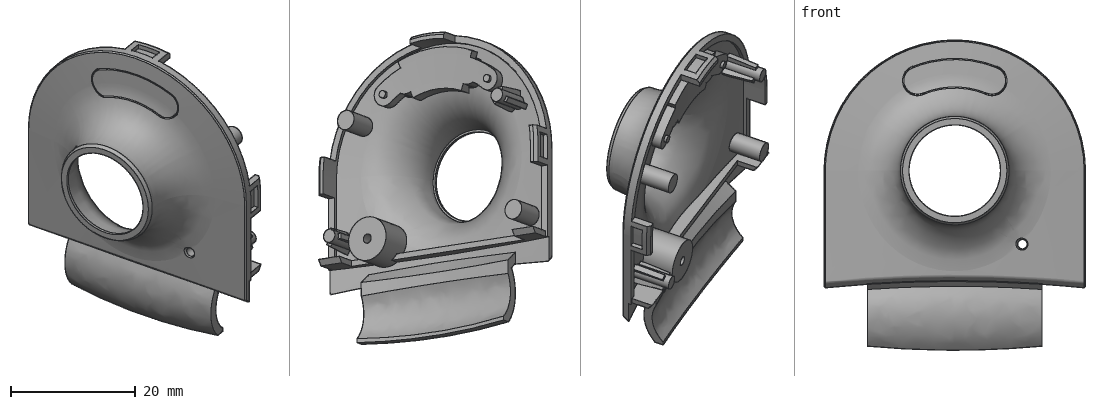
import cadquery as cq
import math


overall_height = 49.65
outline_radius = 20.9
side_edge_front = -1.5
crown_front = -2.85
bottom_wall_top = -13.8
bottom_wall_base = -14.75
edge_chamfer = 0.2
rim_wall = 1.15
shell_wall = 1.05

slope_start_z = -16.95
slope_end_y = -0.4
slope_end_z = -18.82
slope_edge_fillet = 0.5

neck_radius = 8.7
neck_front = -10.8
neck_chamfer_radial = 0.35
neck_chamfer_axial = 0.6
flare_radius = 7.45
bore_radius = 7.3
bore_lip_depth = 0.45

form_reach = 29.8
form_back = 9.95
margin = 0.5
edge_margin = 0.05

top_clip_half_width = 3.25
side_clip_half_width = 3.05
clip_back = 3.35
clip_chamfer = 0.5
clip_window_half_width = 2.05
clip_window_back = 2.05
clip_window_depth = 0.75

post_inner_x = 14.75
post_outer_x = 17.25
post_upper_z = 8.25
post_lower_z = -10.75
post_shoulder_back = 4.4
socket_radius = 1.6
pin_radius = 1.1
pin_back = 5.45
fin_thickness = 0.9
fin_tip_reach = 1.55
fin_base_reach = 1.9
fin_count = 3
upper_pin_fin_angle = 90.0
lower_pin_fin_angle = 60.0

indicator_x = 10.85
indicator_z = -11.75
indicator_boss_radius = 3.6
indicator_boss_back = 4.1
indicator_hole_radius = 0.75
indicator_chamfer = 0.2

tab_outer_x = 20.45
tab_width = 3.95
tab_back = 3.65
tab_chamfer = 0.7

tongue_half_width = 14.0
tongue_center_y = 6.3
tongue_end_radius = 7.5
tongue_thickness = 1.5
tongue_bulge = 0.95
tongue_top_angle = 148.0
tongue_bottom_angle = 223.0
tongue_inner_top_angle = 152.0
tongue_inner_bottom_angle = 228.0
tongue_neck_z = -17.95
tongue_root_y = -2.0
tongue_root_top_z = -15.6
tongue_root_bottom_z = -17.4

window_mid_radius = 15.6
window_half_width = 2.4
window_half_angle = 22.5
window_gap = 0.2
flange_inner_radius = 12.25
flange_outer_radius = 18.9
flange_half_angle = 22.0
flange_depth = 2.65
ear_radius = 1.8
ear_mid_radius = 16.0
ear_half_angle = 38.4
peg_radius = 0.6
peg_back = 1.1

tongue_tip_rise = (tongue_end_radius + tongue_bulge) * math.sin(math.radians(tongue_bottom_angle))
tongue_center_z = outline_radius - overall_height - tongue_tip_rise
crown_height = side_edge_front - crown_front
crown_radius = (outline_radius**2 + crown_height**2) / (2 * crown_height)


def rear_plane(y):
    """Plane at the given Y whose positive extrusions run toward the front (-Y)."""
    return cq.Workplane("XZ", origin=(0, y, 0))


def cylinder(x, z, radius, back, front):
    """Cylinder parallel to Y between two Y positions."""
    return rear_plane(back).center(x, z).circle(radius).extrude(back - front)


def box(x_range, y_range, z_range):
    """Axis-aligned box between the given limits."""
    sizes = [high - low for low, high in (x_range, y_range, z_range)]
    corner = (x_range[0], y_range[0], z_range[0])
    return cq.Workplane("XY").box(*sizes, centered=False).translate(corner)


def edges_within(x_range, y_range, z_range):
    """Selector of the edges that lie wholly inside a box."""
    low, high = zip(x_range, y_range, z_range)
    return cq.selectors.BoxSelector(low, high, boundingbox=True)


def polar(radius, angle):
    """Point at an angle in degrees, measured counter-clockwise from the first axis."""
    turn = math.radians(angle)
    return radius * math.cos(turn), radius * math.sin(turn)


def crown_y(offset, distance):
    """Y of the crown face moved backward by offset, at a distance from the axis."""
    radius = crown_radius - offset
    return crown_front + crown_radius - math.sqrt(radius**2 - distance**2)


def domed_nose(offset):
    """Nose swept round the bore axis, moved inward by offset."""
    neck = neck_radius - offset
    flare = flare_radius + offset
    crown = crown_radius - offset
    crown_center = crown_front + crown_radius
    flare_center_x = neck + flare
    flare_center_y = crown_center - math.sqrt((crown + flare) ** 2 - flare_center_x**2)
    crown_angle = math.degrees(math.atan2(crown_center - flare_center_y, -flare_center_x))
    start_x, start_y = polar(flare, crown_angle)
    middle_x, middle_y = polar(flare, (crown_angle + 180) / 2)
    return (
        cq.Workplane("XY")
        .moveTo(0, neck_front)
        .lineTo(neck, neck_front)
        .lineTo(neck, flare_center_y)
        .threePointArc(
            (flare_center_x + middle_x, flare_center_y + middle_y),
            (flare_center_x + start_x, flare_center_y + start_y),
        )
        .threePointArc(
            (outline_radius, crown_y(offset, outline_radius)),
            (form_reach, crown_y(offset, form_reach)),
        )
        .lineTo(form_reach, form_back)
        .lineTo(0, form_back)
        .close()
        .revolve(180, (0, 0, 0), (0, -1, 0))
    )


def arched_nose(offset):
    """Nose blended into a face curved across X only, moved inward by offset."""
    edge_y = crown_y(offset, form_reach)
    crown = (
        cq.Workplane("XY")
        .moveTo(-form_reach, edge_y)
        .threePointArc((0, crown_front + offset), (form_reach, edge_y))
        .lineTo(form_reach, form_back)
        .lineTo(-form_reach, form_back)
        .close()
        .extrude(form_reach, both=True)
    )
    neck = cylinder(0, 0, neck_radius - offset, 0, neck_front)
    reach = (-neck_radius, neck_radius)
    widened = (reach[0] - margin, reach[1] + margin)
    around_neck = edges_within(widened, (crown_front - margin, 0), widened)
    return crown.union(neck).edges(around_neck).fillet(flare_radius + offset)


def nose_form(offset):
    """Solid behind the front face: domed above the bore axis, arched below it."""
    lower_half = box((-form_reach, form_reach), (neck_front, form_back), (-form_reach, 0))
    return domed_nose(offset).union(arched_nose(offset).intersect(lower_half))


def arch_prism(radius, bottom, back, front):
    """Half disc above the bore axis with straight sides down to bottom."""
    return (
        rear_plane(back)
        .moveTo(-radius, bottom)
        .lineTo(-radius, 0)
        .threePointArc((0, radius), (radius, 0))
        .lineTo(radius, bottom)
        .close()
        .extrude(back - front)
    )


def bottom_wedge():
    """Material removed below the sloped bottom edge."""
    slope = (slope_start_z - slope_end_z) / (slope_end_y - crown_front)
    run = form_back
    return (
        cq.Workplane("YZ")
        .moveTo(crown_front - run, slope_start_z + run * slope)
        .lineTo(slope_end_y + run, slope_end_z - run * slope)
        .lineTo(crown_front - run, slope_end_z - run * slope)
        .close()
        .extrude(form_reach, both=True)
    )


def front_shell():
    """Crowned shell with its rim wall and nose."""
    body = nose_form(0).intersect(arch_prism(outline_radius, slope_end_z, 0, neck_front))
    body = body.cut(bottom_wedge())
    slope_edge = edges_within(
        (-form_reach, form_reach),
        (crown_front - margin, side_edge_front + margin),
        (slope_end_z, slope_start_z + margin),
    )
    body = body.edges(slope_edge).fillet(slope_edge_fillet)
    side_edges = edges_within(
        (-form_reach, form_reach),
        (side_edge_front - edge_margin, side_edge_front + edge_margin),
        (-form_reach, form_reach),
    )
    body = body.edges(side_edges).chamfer(edge_chamfer)
    cavity_front = neck_front + bore_lip_depth
    hollow = nose_form(shell_wall)
    rim_opening = arch_prism(outline_radius - rim_wall, bottom_wall_top, form_back, cavity_front)
    below_rim = box(
        (-form_reach, form_reach), (neck_front, form_back), (-form_reach, bottom_wall_base)
    )
    body = body.cut(hollow.intersect(rim_opening)).cut(hollow.intersect(below_rim))
    return body.cut(cylinder(0, 0, bore_radius, form_back, neck_front)).cut(nose_chamfer())


def nose_chamfer():
    """Ring that bevels the outer edge of the neck."""
    return (
        cq.Workplane("XY")
        .moveTo(neck_radius - neck_chamfer_radial, neck_front)
        .lineTo(neck_radius, neck_front + neck_chamfer_axial)
        .lineTo(neck_radius, neck_front)
        .close()
        .revolve(360, (0, 0, 0), (0, 1, 0))
    )


def snap_clips():
    """Windowed clips on the rim at the top and on both sides."""
    rim = arch_prism(outline_radius, bottom_wall_base, clip_back, side_edge_front / 2)
    rim = rim.faces(">Y").edges().chamfer(clip_chamfer)
    rim = rim.cut(arch_prism(outline_radius - rim_wall, -form_reach, form_back, neck_front))
    depth = (side_edge_front, form_back)
    reach = (-form_reach, form_reach)
    top_span = (-top_clip_half_width, top_clip_half_width)
    side_span = (-side_clip_half_width, side_clip_half_width)
    clips = rim.intersect(box(top_span, depth, (0, form_reach)))
    clips = clips.union(rim.intersect(box(reach, depth, side_span)))
    window_span = (-clip_window_half_width, clip_window_half_width)
    windows = box(window_span, (0, clip_window_back), (0, form_reach))
    windows = windows.union(box(reach, (0, clip_window_back), window_span))
    window_floor = arch_prism(outline_radius - clip_window_depth, -form_reach, form_back, neck_front)
    return clips.cut(windows.cut(window_floor))


def finned_pin(x, z, first_angle):
    """Locating pin stiffened by radial fins that taper toward the rear."""
    pin = cylinder(x, z, pin_radius, pin_back, crown_front)
    fin = (
        cq.Workplane("XY")
        .lineTo(fin_tip_reach, 0)
        .lineTo(fin_base_reach, -post_shoulder_back)
        .lineTo(fin_base_reach, crown_front - post_shoulder_back)
        .lineTo(0, crown_front - post_shoulder_back)
        .close()
        .extrude(fin_thickness / 2, both=True)
        .translate((0, post_shoulder_back, 0))
    )
    for index in range(fin_count):
        angle = first_angle + index * 360 / fin_count
        pin = pin.union(fin.rotate((0, 0, 0), (0, -1, 0), angle).translate((x, 0, z)))
    return pin


def rear_posts():
    """Pins, sockets and the indicator boss, standing on the inside of the shell."""
    posts = finned_pin(-post_inner_x, post_upper_z, upper_pin_fin_angle)
    posts = posts.union(finned_pin(post_outer_x, post_lower_z, lower_pin_fin_angle))
    for x, z in ((-post_outer_x, post_lower_z), (post_inner_x, post_upper_z)):
        posts = posts.union(cylinder(x, z, socket_radius, post_shoulder_back, crown_front))
    boss = cylinder(
        indicator_x, indicator_z, indicator_boss_radius, indicator_boss_back, neck_front
    )
    return posts.union(boss).intersect(nose_form(shell_wall / 2))


def indicator_countersink():
    """Bevel at the front of the indicator hole."""
    face_y = crown_y(0, indicator_x)
    opening = indicator_hole_radius + indicator_chamfer
    bevel = cq.Solid.makeCone(
        opening + indicator_chamfer,
        indicator_hole_radius,
        2 * indicator_chamfer,
        cq.Vector(indicator_x, face_y - indicator_chamfer, indicator_z),
        cq.Vector(0, 1, 0),
    )
    return cq.Workplane(bevel)


def corner_tabs():
    """Tabs behind the lower corners, bevelled underneath at the rear."""
    tab_root_y = side_edge_front / 2
    tab = (
        cq.Workplane("YZ")
        .moveTo(tab_root_y, bottom_wall_base)
        .lineTo(tab_root_y, bottom_wall_top)
        .lineTo(tab_back, bottom_wall_top)
        .lineTo(tab_back - tab_chamfer, bottom_wall_base)
        .close()
        .extrude(tab_width)
    )
    left = tab.translate((-tab_outer_x, 0, 0))
    return left.union(left.mirror("YZ"))


def tongue_section(x, bulge):
    """Closed wire of the tongue at x, with its curved part moved outward by bulge."""
    outer = tongue_end_radius + bulge
    inner = outer - tongue_thickness

    def arc(radius, start, end):
        """Start, middle and end of an arc about the barrel centre."""
        spots = [polar(radius, angle) for angle in (start, (start + end) / 2, end)]
        return [cq.Vector(x, tongue_center_y + along, tongue_center_z + up) for along, up in spots]

    outer_top, outer_middle, outer_bottom = arc(outer, tongue_top_angle, tongue_bottom_angle)
    inner_bottom, inner_middle, inner_top = arc(inner, tongue_inner_bottom_angle, tongue_inner_top_angle)
    rear_corner = cq.Vector(x, inner_bottom.y, outer_bottom.z)
    neck = cq.Vector(x, inner_top.y, tongue_neck_z)
    root_top = cq.Vector(x, tongue_root_y, tongue_root_top_z)
    root_bottom = cq.Vector(x, tongue_root_y, tongue_root_bottom_z)
    edges = [
        cq.Edge.makeThreePointArc(outer_top, outer_middle, outer_bottom),
        cq.Edge.makeThreePointArc(inner_bottom, inner_middle, inner_top),
    ]
    front_path = [outer_bottom, rear_corner, inner_bottom]
    root_path = [inner_top, neck, root_top, root_bottom, outer_top]
    for path in (front_path, root_path):
        edges += [cq.Edge.makeLine(start, end) for start, end in zip(path, path[1:])]
    return cq.Wire.assembleEdges(edges)


def tongue():
    """Barrel-shaped tongue hanging from the bottom edge."""
    sections = [
        tongue_section(-tongue_half_width, 0),
        tongue_section(0, tongue_bulge),
        tongue_section(tongue_half_width, 0),
    ]
    return cq.Workplane(cq.Solid.makeLoft(sections))


def arc_slot(mid_radius, half_width, half_angle):
    """Prism of an arc-shaped slot centred above the bore, with round ends."""
    outer = mid_radius + half_width
    inner = mid_radius - half_width
    start, end = 90 - half_angle, 90 + half_angle
    return (
        rear_plane(form_back)
        .moveTo(*polar(outer, start))
        .threePointArc((0, outer), polar(outer, end))
        .threePointArc(cap_point(mid_radius, half_width, end, 90), polar(inner, end))
        .threePointArc((0, inner), polar(inner, start))
        .threePointArc(cap_point(mid_radius, half_width, start, -90), polar(outer, start))
        .close()
        .extrude(form_back - neck_front)
    )


def cap_point(mid_radius, half_width, angle, turn):
    """Outermost point of a round slot end."""
    center_x, center_z = polar(mid_radius, angle)
    reach_x, reach_z = polar(half_width, angle + turn)
    return center_x + reach_x, center_z + reach_z


def flange_sector():
    """Prism of the plain-ended part of the window flange."""
    start, end = 90 - flange_half_angle, 90 + flange_half_angle
    return (
        rear_plane(form_back)
        .moveTo(*polar(flange_outer_radius, start))
        .threePointArc((0, flange_outer_radius), polar(flange_outer_radius, end))
        .lineTo(*polar(flange_inner_radius, end))
        .threePointArc((0, flange_inner_radius), polar(flange_inner_radius, start))
        .close()
        .extrude(form_back - neck_front)
    )


def make_window():
    """Insert that fills the arc-shaped opening, held from behind by an eared flange."""
    ahead_of_rear_face = nose_form(0).cut(domed_back(flange_depth))
    plug = arc_slot(window_mid_radius, window_half_width - window_gap, window_half_angle)
    plug = plug.intersect(ahead_of_rear_face)
    flange = flange_sector().union(arc_slot(ear_mid_radius, ear_radius, ear_half_angle))
    flange = flange.intersect(nose_form(shell_wall)).cut(domed_back(flange_depth))
    window = plug.union(flange)
    for angle in (90 - ear_half_angle, 90 + ear_half_angle):
        window = window.union(cylinder(*polar(ear_mid_radius, angle), peg_radius, peg_back, 0))
    return window


def domed_back(offset):
    """Space behind a dome parallel to the crowned face."""
    return (
        cq.Workplane("XY")
        .moveTo(0, crown_front + offset)
        .threePointArc(
            (form_reach / 2, crown_y(0, form_reach / 2) + offset),
            (form_reach, crown_y(0, form_reach) + offset),
        )
        .lineTo(form_reach, form_back + offset)
        .lineTo(0, form_back + offset)
        .close()
        .revolve(360, (0, 0, 0), (0, 1, 0))
    )


def make_housing():
    """Shell with its clips, tabs, posts, tongue and openings."""
    housing = front_shell()
    for feature in (snap_clips(), corner_tabs(), rear_posts(), tongue()):
        housing = housing.union(feature)
    housing = housing.cut(arc_slot(window_mid_radius, window_half_width, window_half_angle))
    indicator_hole = cylinder(
        indicator_x, indicator_z, indicator_hole_radius, form_back, neck_front
    )
    housing = housing.cut(indicator_hole)
    return housing.cut(indicator_countersink())


housing = make_housing()
window = make_window()
result = cq.Compound.makeCompound([housing.val(), window.val()])